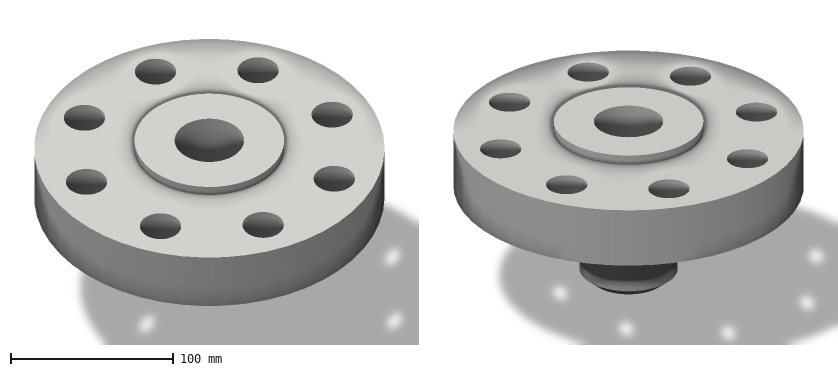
import cadquery as cq
import math

flange_diameter = 216.0
flange_thickness = 38.2
face_diameter = 92.2
face_height = 6.3
total_height = 108.0

hub_diameter = 104.7
hub_fillet_radius = 10.0
neck_diameter = 60.5
neck_height = 6.5
bevel_height = 6.0
tip_diameter = 45.8

bore_diameter = 42.7
bolt_circle_diameter = 165.2
bolt_hole_diameter = 25.5
bolt_hole_count = 8

neck_bottom = bevel_height
neck_top = neck_bottom + neck_height
face_bottom = total_height - face_height
flange_bottom = face_bottom - flange_thickness


def make_body():
    """Revolve the outer profile about Z, blending the hub into the flange."""
    taper_angle = math.atan2((hub_diameter - neck_diameter) / 2, flange_bottom - neck_top)
    tangent = hub_fillet_radius * math.tan((math.pi / 2 - taper_angle) / 2)
    hub_radius = hub_diameter / 2
    fillet_start = (
        hub_radius - tangent * math.sin(taper_angle),
        flange_bottom - tangent * math.cos(taper_angle),
    )
    fillet_end = (hub_radius + tangent, flange_bottom)
    profile = (
        cq.Workplane("XZ")
        .lineTo(tip_diameter / 2, 0)
        .lineTo(neck_diameter / 2, neck_bottom)
        .lineTo(neck_diameter / 2, neck_top)
        .lineTo(*fillet_start)
        .tangentArcPoint(fillet_end, relative=False)
        .lineTo(flange_diameter / 2, flange_bottom)
        .lineTo(flange_diameter / 2, face_bottom)
        .lineTo(face_diameter / 2, face_bottom)
        .lineTo(face_diameter / 2, total_height)
        .lineTo(0, total_height)
        .close()
    )
    return profile.revolve(360, (0, 0, 0), (0, 1, 0))


def make_bore():
    return cq.Workplane("XY").circle(bore_diameter / 2).extrude(total_height)


def make_bolt_holes():
    return (
        cq.Workplane("XY")
        .workplane(offset=flange_bottom)
        .polarArray(bolt_circle_diameter / 2, 0, 360, bolt_hole_count)
        .circle(bolt_hole_diameter / 2)
        .extrude(flange_thickness)
    )


result = make_body().cut(make_bore()).cut(make_bolt_holes())